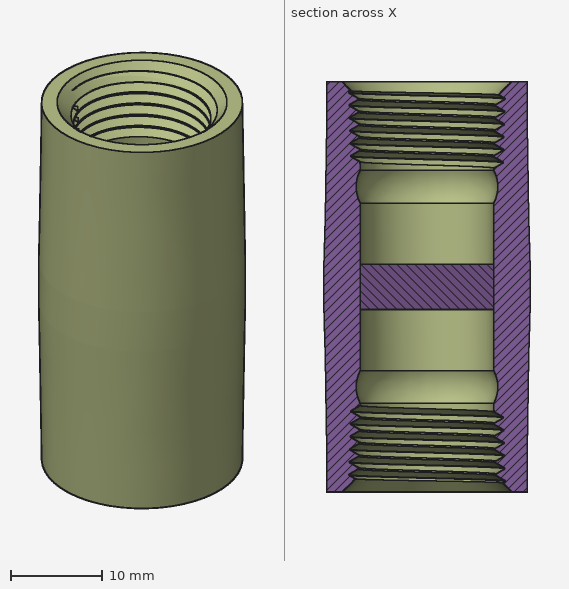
import cadquery as cq
import math

length = 45.0
band_diameter = 22.7
band_width = 5.0
end_diameter = 22.05

mouth_diameter = 18.65
minor_diameter_at_mouth = 15.2
taper_on_diameter = 1 / 16
taper_depth = 9.7

relief_width = 3.6
relief_bulge = 0.45

groove_bottom_depth = 9.05
thread_rise = 8.35
turns = 6
pitch = thread_rise / turns
thread_angle = 60.0
thread_depth = 0.72 * pitch
root_flat = 0.04 * pitch
thread_start_angle = 225.0
groove_overlap = 0.05

partition_thickness = band_width

half_length = length / 2
taper_on_radius = taper_on_diameter / 2
mouth_radius = mouth_diameter / 2
minor_radius_at_mouth = minor_diameter_at_mouth / 2
bore_radius = minor_radius_at_mouth - taper_on_radius * taper_depth


def minor_radius(depth):
    """Radius of the tapered bore wall at a depth below the mouth."""
    return minor_radius_at_mouth - taper_on_radius * depth


def revolve_about_z(outline):
    """Solid of revolution from a closed (radius, z) outline."""
    return outline.revolve(360, (0, 0, 0), (0, 1, 0))


def make_half_barrel():
    """Upper half of the barrel, from mid-length to the end face."""
    outline = (
        cq.Workplane("XZ")
        .lineTo(band_diameter / 2, 0)
        .lineTo(band_diameter / 2, band_width / 2)
        .lineTo(end_diameter / 2, half_length)
        .lineTo(0, half_length)
        .close()
    )
    return revolve_about_z(outline)


def make_bore():
    """Upper half of the bore, from mid-length to the mouth."""
    chamfer_depth = (mouth_radius - minor_radius_at_mouth) / (1 - taper_on_radius)
    relief_top = half_length - taper_depth
    relief_bottom = relief_top - relief_width
    relief_middle = (relief_top + relief_bottom) / 2
    outline = (
        cq.Workplane("XZ")
        .lineTo(bore_radius, 0)
        .lineTo(bore_radius, relief_bottom)
        .threePointArc((bore_radius + relief_bulge, relief_middle), (bore_radius, relief_top))
        .lineTo(minor_radius(chamfer_depth), half_length - chamfer_depth)
        .lineTo(mouth_radius, half_length)
        .lineTo(0, half_length)
        .close()
    )
    return revolve_about_z(outline)


def make_groove_turn(start_depth):
    """One turn of the V groove, climbing the tapered wall from a depth below the mouth."""
    start_radius = minor_radius(start_depth)
    inner_radius = start_radius - groove_overlap
    outer_radius = start_radius + thread_depth
    root_half = root_flat / 2
    open_half = root_half + (outer_radius - inner_radius) * math.tan(math.radians(thread_angle / 2))
    profile = [
        (inner_radius, -open_half),
        (outer_radius, -root_half),
        (outer_radius, root_half),
        (inner_radius, open_half),
    ]
    taper_angle = math.degrees(math.atan(taper_on_radius))
    helix = cq.Wire.makeHelix(pitch, pitch, start_radius, angle=taper_angle)
    groove = cq.Workplane("XZ").polyline(profile).close().sweep(helix, isFrenet=True)
    groove = groove.rotate((0, 0, 0), (0, 0, 1), thread_start_angle)
    return groove.translate((0, 0, half_length - start_depth))


def make_housing():
    """Barrel with the same threaded bore at the top and, turned over, at the bottom."""
    upper_half = make_half_barrel().cut(make_bore())
    for turn in range(turns):
        upper_half = upper_half.cut(make_groove_turn(groove_bottom_depth - turn * pitch))
    lower_half = upper_half.rotate((0, 0, 0), (1, 0, 0), 180)
    return upper_half.union(lower_half)


def make_partition():
    """Disc that fills the bore at mid-length."""
    return cq.Workplane("XY").circle(bore_radius).extrude(partition_thickness / 2, both=True)


housing = make_housing()
partition = make_partition()
result = cq.Compound.makeCompound([*housing.vals(), partition.val()])